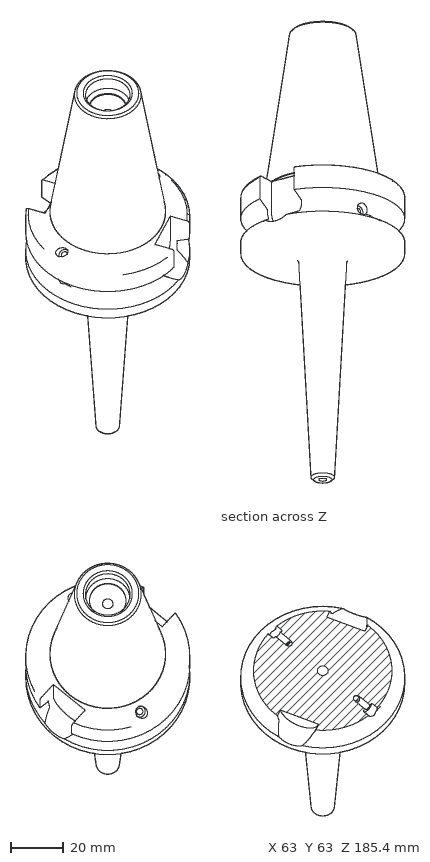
import cadquery as cq
import math


GAUGE_DIAMETER = 44.45
TAPER_RATIO = 7 / 24
TAPER_HEIGHT = 65.4
TAPER_END_CHAMFER = 0.8
COLLAR_ROOT_FILLET = 0.5
RELIEF_DEPTH = 0.2
RELIEF_TOP_Z = -0.5
RELIEF_RADIUS = GAUGE_DIAMETER / 2 - RELIEF_DEPTH

FLANGE_DIAMETER = 63.0
FLANGE_TOP_Z = -2.0
FLANGE_BOTTOM_Z = -27.0
FLANGE_EDGE_FILLET = 1.0
GROOVE_DIAMETER = 53.3
GROOVE_CENTER_Z = -16.65
GROOVE_FLOOR_WIDTH = 4.2
GROOVE_FLANK_ANGLE = 30.0
GROOVE_FLOOR_FILLET = 0.6

SLOT_WIDTH = 16.1
SLOT_FACE_X = 22.6
SLOT_BOTTOM_Z = -23.2

NOSE_TIP_DIAMETER = 9.0
NOSE_TIP_Z = -120.0
NOSE_HALF_ANGLE = 3.0
NOSE_TIP_CHAMFER = 1.0
NOSE_ROOT_FILLET = 3.0

BORE_MOUTH_DIAMETER = 18.8
COUNTERBORE_DIAMETER = 17.0
COUNTERBORE_DEPTH = 6.2
SEAT_ANGLE = 50.0
THREAD_BORE_DIAMETER = 14.0
THREAD_BORE_DEPTH = 8.0
DRILL_POINT_ANGLE = 59.0
CHANNEL_DIAMETER = 4.0
TOOL_BORE_DIAMETER = 3.0
TOOL_BORE_LENGTH = 12.0

COOLANT_HOLE_ANGLES = (70.0, 250.0)
FEED_RADIUS = 26.6
FEED_TILT = 30.0
FEED_LENGTH = 18.0
COOLANT_BORE_DIAMETER = 2.5
FEED_PLUG_DIAMETER = 4.4
FEED_PLUG_DEPTH = 3.0
CROSS_PLUG_DIAMETER = 4.6
CROSS_PLUG_DEPTH = 3.0
CROSS_HOLE_INNER_RADIUS = 18.0


def taper_radius(z):
    return GAUGE_DIAMETER / 2 - z * TAPER_RATIO / 2


def nose_radius(z):
    return NOSE_TIP_DIAMETER / 2 + (z - NOSE_TIP_Z) * math.tan(math.radians(NOSE_HALF_ANGLE))


def make_taper():
    gauge_radius = GAUGE_DIAMETER / 2
    profile = [
        (0, FLANGE_TOP_Z),
        (RELIEF_RADIUS, FLANGE_TOP_Z),
        (RELIEF_RADIUS, RELIEF_TOP_Z - RELIEF_DEPTH),
        (gauge_radius, RELIEF_TOP_Z),
        (gauge_radius, 0),
        (taper_radius(TAPER_HEIGHT), TAPER_HEIGHT),
        (0, TAPER_HEIGHT),
    ]
    taper = cq.Workplane("XZ").polyline(profile).close().revolve(360, (0, 0), (0, 1))
    return taper.faces(">Z").edges().chamfer(TAPER_END_CHAMFER)


def make_flange():
    height = FLANGE_TOP_Z - FLANGE_BOTTOM_Z
    flange = cq.Workplane("XY", origin=(0, 0, FLANGE_BOTTOM_Z)).circle(FLANGE_DIAMETER / 2).extrude(height)
    flange = flange.faces("<Z or >Z").edges().fillet(FLANGE_EDGE_FILLET)
    return flange.cut(make_gripper_groove())


def make_gripper_groove():
    floor_radius = GROOVE_DIAMETER / 2
    rim_radius = FLANGE_DIAMETER / 2
    flank_rise = (rim_radius - floor_radius) * math.tan(math.radians(GROOVE_FLANK_ANGLE))
    half_floor = GROOVE_FLOOR_WIDTH / 2
    half_mouth = half_floor + flank_rise
    profile = [
        (floor_radius, GROOVE_CENTER_Z - half_floor),
        (rim_radius, GROOVE_CENTER_Z - half_mouth),
        (rim_radius, GROOVE_CENTER_Z + half_mouth),
        (floor_radius, GROOVE_CENTER_Z + half_floor),
    ]
    groove = cq.Workplane("XZ").polyline(profile).close().revolve(360, (0, 0), (0, 1))
    floor_edges = cq.selectors.RadiusNthSelector(0)
    return groove.edges(floor_edges).fillet(GROOVE_FLOOR_FILLET)


def make_nose():
    root_radius = nose_radius(FLANGE_BOTTOM_Z)
    profile = [
        (0, NOSE_TIP_Z),
        (NOSE_TIP_DIAMETER / 2, NOSE_TIP_Z),
        (root_radius, FLANGE_BOTTOM_Z),
        (0, FLANGE_BOTTOM_Z),
    ]
    nose = cq.Workplane("XZ").polyline(profile).close().revolve(360, (0, 0), (0, 1))
    return nose.faces("<Z").edges().chamfer(NOSE_TIP_CHAMFER)


def add_root_fillet(body, root_radius, root_z, fillet_radius):
    reach = root_radius + fillet_radius
    half_height = fillet_radius / 5
    near_root = cq.selectors.BoxSelector(
        (-reach, -reach, root_z - half_height),
        (reach, reach, root_z + half_height),
    )
    return body.edges(near_root).fillet(fillet_radius)


def make_drive_slot(side):
    half_width = SLOT_WIDTH / 2
    round_center_z = SLOT_BOTTOM_Z + half_width
    depth = FLANGE_DIAMETER / 2 - SLOT_FACE_X
    outline = (
        cq.Workplane("YZ", origin=(side * SLOT_FACE_X, 0, 0))
        .moveTo(-half_width, FLANGE_TOP_Z)
        .lineTo(-half_width, round_center_z)
        .threePointArc((0, SLOT_BOTTOM_Z), (half_width, round_center_z))
        .lineTo(half_width, FLANGE_TOP_Z)
        .close()
    )
    return outline.extrude(side * depth)


def make_bore():
    mouth_radius = BORE_MOUTH_DIAMETER / 2
    counterbore_radius = COUNTERBORE_DIAMETER / 2
    thread_radius = THREAD_BORE_DIAMETER / 2
    channel_radius = CHANNEL_DIAMETER / 2
    tool_radius = TOOL_BORE_DIAMETER / 2
    mouth_z = TAPER_HEIGHT - (mouth_radius - counterbore_radius)
    seat_z = TAPER_HEIGHT - COUNTERBORE_DEPTH
    seat_drop = (counterbore_radius - thread_radius) / math.tan(math.radians(SEAT_ANGLE))
    floor_z = TAPER_HEIGHT - THREAD_BORE_DEPTH
    point_drop = (thread_radius - channel_radius) / math.tan(math.radians(DRILL_POINT_ANGLE))
    profile = [
        (0, TAPER_HEIGHT),
        (mouth_radius, TAPER_HEIGHT),
        (counterbore_radius, mouth_z),
        (counterbore_radius, seat_z),
        (thread_radius, seat_z - seat_drop),
        (thread_radius, floor_z),
        (channel_radius, floor_z - point_drop),
        (channel_radius, NOSE_TIP_Z + TOOL_BORE_LENGTH),
        (tool_radius, NOSE_TIP_Z + TOOL_BORE_LENGTH),
        (tool_radius, NOSE_TIP_Z),
        (0, NOSE_TIP_Z),
    ]
    return cq.Workplane("XZ").polyline(profile).close().revolve(360, (0, 0), (0, 1))


def make_stepped_hole(mouth, direction, plug_diameter, plug_depth, length):
    run_out = plug_diameter
    plug = cq.Solid.makeCylinder(
        plug_diameter / 2, plug_depth + run_out, mouth - direction * run_out, direction
    )
    bore = cq.Solid.makeCylinder(COOLANT_BORE_DIAMETER / 2, length, mouth, direction)
    return cq.Workplane(plug).union(cq.Workplane(bore))


def make_coolant_hole(angle):
    tilt = math.radians(FEED_TILT)
    feed_mouth = cq.Vector(FEED_RADIUS, 0, FLANGE_TOP_Z)
    feed_direction = cq.Vector(-math.sin(tilt), 0, -math.cos(tilt))
    feed = make_stepped_hole(
        feed_mouth, feed_direction, FEED_PLUG_DIAMETER, FEED_PLUG_DEPTH, FEED_LENGTH
    )
    cross_mouth = cq.Vector(GROOVE_DIAMETER / 2, 0, GROOVE_CENTER_Z)
    cross_length = GROOVE_DIAMETER / 2 - CROSS_HOLE_INNER_RADIUS
    cross = make_stepped_hole(
        cross_mouth, cq.Vector(-1, 0, 0), CROSS_PLUG_DIAMETER, CROSS_PLUG_DEPTH, cross_length
    )
    return feed.union(cross).rotate((0, 0, 0), (0, 0, 1), angle)


result = make_flange().union(make_nose()).union(make_taper())
result = add_root_fillet(result, nose_radius(FLANGE_BOTTOM_Z), FLANGE_BOTTOM_Z, NOSE_ROOT_FILLET)
result = add_root_fillet(result, RELIEF_RADIUS, FLANGE_TOP_Z, COLLAR_ROOT_FILLET)
for slot_side in (-1, 1):
    result = result.cut(make_drive_slot(slot_side))
for hole_angle in COOLANT_HOLE_ANGLES:
    result = result.cut(make_coolant_hole(hole_angle))
result = result.cut(make_bore())